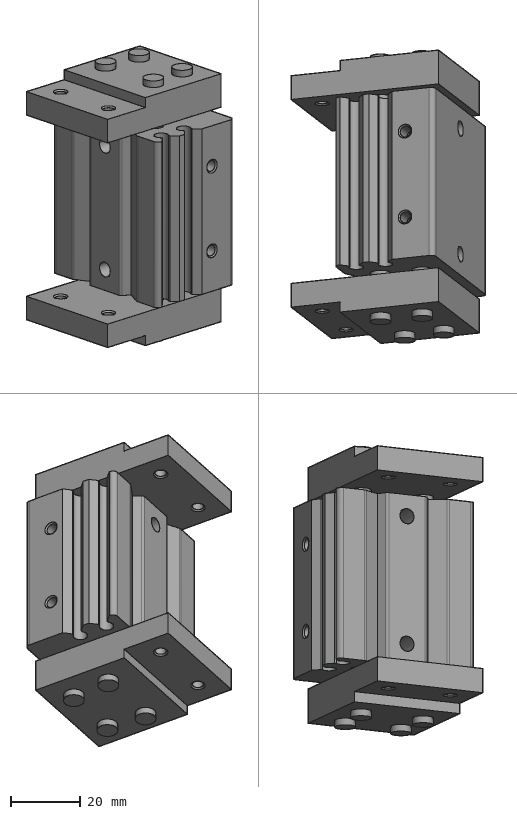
import cadquery as cq

total_height = 80.0

housing_width = 44.0
housing_depth = 30.8
housing_height = 50.7
corner_radius = 1.5

slot_front_y = 5.4
slot_pitch = 9.0
slot_chamfer = 2.0
slot_neck_half = 1.5
slot_bore_radius = 2.1
slot_bore_depth = 4.0

groove_outer_x = 13.4
groove_bottom_x = 8.2
groove_inner_x = 6.4
groove_depth = 2.7
groove_inner_radius = 1.0

mounting_hole_diameter = 4.5
mounting_hole_z = 19.0
side_hole_y = 21.8
side_hole_z = 13.0
side_hole_depth = 6.0

thread_hole_diameter = 3.3
mouth_diameter = 4.2

plate_width = 34.0
plate_front_y = -15.2
plate_back_y = 30.3
plate_thickness = 10.2
plate_step_y = -0.1
plate_step_drop = 3.0
plate_hole_y = -8.2
plate_hole_pitch = 20.0

rod_diameter = 6.0
rod_overhang = 2.0
front_rod_pitch = 20.0
front_rod_y = 9.8
back_rod_pitch = 18.0
back_rod_y = 22.3

housing_top = housing_height / 2
rod_end = total_height / 2
plate_outer_z = rod_end - rod_overhang
plate_inner_z = plate_outer_z - plate_thickness
plate_ledge_z = plate_outer_z - plate_step_drop


def upright_prism(sketch):
    """Extrude an XY outline over the full height of the housing."""
    return sketch.extrude(housing_height)


def housing_plane():
    return cq.Workplane("XY").workplane(offset=-housing_top)


def housing_block():
    block = upright_prism(
        housing_plane().center(0, housing_depth / 2).rect(housing_width, housing_depth)
    )
    return block.edges("|Z").fillet(corner_radius)


def sensor_slot(side, y):
    """Slot cutter for the side face at X = side * half width, centred on the given Y."""
    face_x = side * housing_width / 2
    neck_x = face_x - side * slot_chamfer
    bore_x = face_x - side * slot_bore_depth
    mouth_half = slot_neck_half + slot_chamfer
    throat = upright_prism(
        housing_plane().polyline([
            (face_x, y - mouth_half),
            (neck_x, y - slot_neck_half),
            (bore_x, y - slot_neck_half),
            (bore_x, y + slot_neck_half),
            (neck_x, y + slot_neck_half),
            (face_x, y + mouth_half),
        ]).close()
    )
    bore = upright_prism(housing_plane().center(bore_x, y).circle(slot_bore_radius))
    return throat.union(bore)


def front_groove(side):
    return upright_prism(
        housing_plane().polyline([
            (side * groove_outer_x, 0),
            (side * groove_bottom_x, groove_depth),
            (side * groove_inner_x, 0),
        ]).close()
    )


def round_groove_edges(body, groove_x, radius):
    """Round the upright edges where the grooves leave the front face."""
    for side in (-1, 1):
        edge = body.edges(cq.selectors.NearestToPointSelector((side * groove_x, 0, 0)))
        body = edge.fillet(radius)
    return body


def mounting_holes():
    return (
        cq.Workplane("XZ")
        .pushPoints([(0, -mounting_hole_z), (0, mounting_hole_z)])
        .circle(mounting_hole_diameter / 2)
        .extrude(-housing_depth)
    )


def side_hole(side, z):
    """Blind hole along X with a 45 degree mouth and a conical drill-point bottom."""
    face_x = side * housing_width / 2
    radius = thread_hole_diameter / 2
    mouth_radius = mouth_diameter / 2
    mouth_depth = mouth_radius - radius
    point_depth = radius
    profile = cq.Workplane("XY").polyline([
        (face_x, side_hole_y),
        (face_x, side_hole_y + mouth_radius),
        (face_x - side * mouth_depth, side_hole_y + radius),
        (face_x - side * side_hole_depth, side_hole_y + radius),
        (face_x - side * (side_hole_depth + point_depth), side_hole_y),
    ]).close()
    hole = profile.revolve(360, (0, side_hole_y, 0), (1, side_hole_y, 0))
    return hole.translate((0, 0, z))


def make_housing():
    body = housing_block()
    for side in (-1, 1):
        body = body.cut(front_groove(side))
    body = round_groove_edges(body, groove_outer_x, corner_radius)
    body = round_groove_edges(body, groove_inner_x, groove_inner_radius)
    body = body.cut(mounting_holes())
    for side in (-1, 1):
        for y in (slot_front_y, slot_front_y + slot_pitch):
            body = body.cut(sensor_slot(side, y))
        for z in (-side_hole_z, side_hole_z):
            body = body.cut(side_hole(side, z))
    return body.solids()


def stepped_plate():
    """Upper end plate, thinner where it reaches forward past the housing."""
    profile = cq.Workplane("YZ").polyline([
        (plate_front_y, plate_inner_z),
        (plate_back_y, plate_inner_z),
        (plate_back_y, plate_outer_z),
        (plate_step_y, plate_outer_z),
        (plate_step_y, plate_ledge_z),
        (plate_front_y, plate_ledge_z),
    ]).close()
    return profile.extrude(plate_width / 2, both=True)


def plate_hole(x):
    """Through hole along Z with a 45 degree mouth at both faces."""
    radius = thread_hole_diameter / 2
    mouth_radius = mouth_diameter / 2
    mouth_depth = mouth_radius - radius
    profile = cq.Workplane("XZ").polyline([
        (0, plate_inner_z),
        (mouth_radius, plate_inner_z),
        (radius, plate_inner_z + mouth_depth),
        (radius, plate_ledge_z - mouth_depth),
        (mouth_radius, plate_ledge_z),
        (0, plate_ledge_z),
    ]).close()
    return profile.revolve(360, (0, 0, 0), (0, 1, 0)).translate((x, plate_hole_y, 0))


def rods():
    """Four rods from the top of the housing through the plate to the overhanging ends."""
    centres = []
    for pitch, y in ((front_rod_pitch, front_rod_y), (back_rod_pitch, back_rod_y)):
        centres += [(-pitch / 2, y), (pitch / 2, y)]
    return (
        cq.Workplane("XY").workplane(offset=housing_top)
        .pushPoints(centres)
        .circle(rod_diameter / 2)
        .extrude(rod_end - housing_top)
    )


def make_end_unit(is_upper):
    """End plate with its rods; the lower unit mirrors the upper one."""
    unit = stepped_plate().union(rods())
    for x in (-plate_hole_pitch / 2, plate_hole_pitch / 2):
        unit = unit.cut(plate_hole(x))
    placed_unit = unit if is_upper else unit.mirror("XY")
    return placed_unit.solids()


housing = make_housing()
end_units = [make_end_unit(is_upper).val() for is_upper in (True, False)]
result = cq.Compound.makeCompound([housing.val(), *end_units])